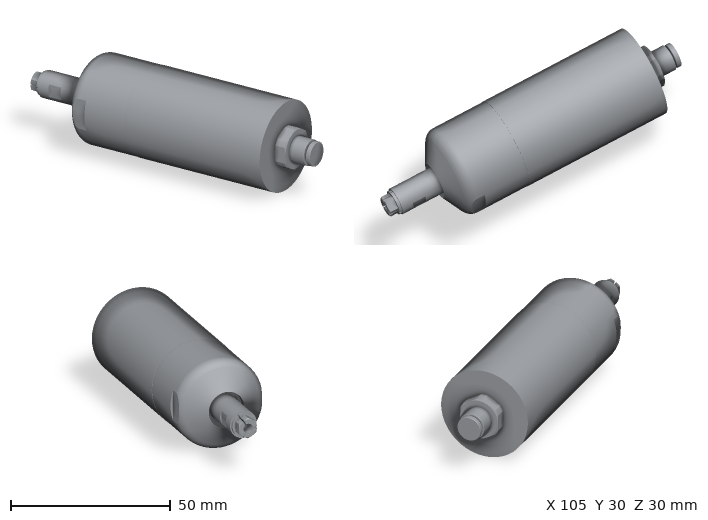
import cadquery as cq
import math


HEX_CHAMFER_ANGLE = 30

TIP_HEX_FLATS = 6.0
TIP_HEX_END = 2.9
TIP_FACE_DIAMETER = 5.9
COLLAR_DIAMETER = 8.1
COLLAR_END = 3.9
BORE_DIAMETER = 3.0
BORE_DEPTH = 4.2
BORE_POINT_ANGLE = 118
SLOT_WIDTH = 0.4
SLOT_COUNT = 3

SPINDLE_DIAMETER = 9.0
SPINDLE_FLATS = 8.0
SPINDLE_FLAT_START = 7.7
SPINDLE_FLAT_LENGTH = 4.5

REAR_DIAMETER = 30.0
FRONT_DIAMETER = 29.8
NOSE_DIAMETER = 12.0
NOSE_CONE_ANGLE = 60
NOSE_ROUNDING = 4.0
BODY_START = 25.4
BODY_END = 93.5
SEAM_POSITION = 43.4
RECESS_DIAMETER = NOSE_DIAMETER
RECESS_DEPTH = 2.1
BEARING_BORE_DIAMETER = 10.0
BEARING_BORE_DEPTH = 3.2
BODY_FLATS = 28.0
BODY_FLAT_END = 27.9

NUT_FLATS = 13.0
NUT_CORNER_DIAMETER = 14.1
NUT_LENGTH = 4.1
NUT_FACE_DIAMETER = 12.9
SLEEVE_DIAMETER = 8.6
SLEEVE_END = 102.9
SLEEVE_CHAMFER = 0.1
NECK_DIAMETER = 5.3
RING_DIAMETER = 8.1
RING_START = 103.4
RING_CHAMFER = 0.16
TOTAL_LENGTH = 105.0


def rod(diameter, start, end):
    """Round bar along X."""
    return cq.Workplane("YZ", origin=(start, 0, 0)).circle(diameter / 2).extrude(end - start)


def hexagon(across_flats, start, end):
    """Hexagonal bar along X with two flats facing -Y and +Y and corners facing -Z and +Z."""
    corner_diameter = across_flats / math.cos(math.radians(30))
    bar = cq.Workplane("YZ").polygon(6, corner_diameter).extrude(end - start)
    return bar.rotate((0, 0, 0), (1, 0, 0), 90).translate((start, 0, 0))


def turned_hexagon(across_flats, outer_diameter, face_diameter, start, end, chamfered_faces):
    """Hexagonal bar turned to an outer diameter, with conical chamfers down to a round face."""
    height = (outer_diameter - face_diameter) / 2
    length = height * math.tan(math.radians(HEX_CHAMFER_ANGLE))
    envelope = rod(outer_diameter, start, end).faces(chamfered_faces).chamfer(length, height)
    return hexagon(across_flats, start, end).intersect(envelope)


def flat_cutters(across_flats, start, end):
    """Blocks that leave two parallel flats facing -Y and +Y."""
    size = REAR_DIAMETER
    gap = cq.Workplane("XY").box(end - start, across_flats, size)
    block = cq.Workplane("XY").box(end - start, 2 * size, size)
    return block.cut(gap).translate(((start + end) / 2, 0, 0))


def make_collet():
    tip = turned_hexagon(TIP_HEX_FLATS, COLLAR_DIAMETER, TIP_FACE_DIAMETER, 0, TIP_HEX_END, "<X")
    collet = tip.union(rod(COLLAR_DIAMETER, TIP_HEX_END, COLLAR_END))
    slot = cq.Workplane("XY").box(COLLAR_END, COLLAR_DIAMETER, SLOT_WIDTH, centered=(False, False, True))
    for index in range(SLOT_COUNT):
        angle = 180 + index * 360 / SLOT_COUNT
        collet = collet.cut(slot.rotate((0, 0, 0), (1, 0, 0), angle))
    return collet


def make_collet_bore():
    """Drilled hole with a conical bottom."""
    radius = BORE_DIAMETER / 2
    point_length = radius / math.tan(math.radians(BORE_POINT_ANGLE / 2))
    profile = cq.Workplane("XY").polyline(
        [(0, 0), (0, radius), (BORE_DEPTH, radius), (BORE_DEPTH + point_length, 0)]
    ).close()
    return profile.revolve(360, (0, 0, 0), (1, 0, 0))


def make_spindle():
    spindle = rod(SPINDLE_DIAMETER, COLLAR_END, BODY_START)
    flat_end = SPINDLE_FLAT_START + SPINDLE_FLAT_LENGTH
    return spindle.cut(flat_cutters(SPINDLE_FLATS, SPINDLE_FLAT_START, flat_end))


def make_housing():
    angle = math.radians(NOSE_CONE_ANGLE)
    radius = FRONT_DIAMETER / 2
    rear_radius = REAR_DIAMETER / 2
    arc_centre = (BODY_START, radius - NOSE_ROUNDING)

    def arc_point(tilt):
        """Point of the nose rounding, tilted forward from the radial direction."""
        x = arc_centre[0] - NOSE_ROUNDING * math.sin(tilt)
        return (x, arc_centre[1] + NOSE_ROUNDING * math.cos(tilt))

    cone_end = arc_point(angle)
    cone_start = cone_end[0] - (cone_end[1] - NOSE_DIAMETER / 2) / math.tan(angle)
    profile = (
        cq.Workplane("XY")
        .moveTo(cone_start, 0)
        .lineTo(cone_start, NOSE_DIAMETER / 2)
        .lineTo(*cone_end)
        .threePointArc(arc_point(angle / 2), (BODY_START, radius))
        .lineTo(SEAM_POSITION, radius)
        .lineTo(SEAM_POSITION, rear_radius)
        .lineTo(BODY_END, rear_radius)
        .lineTo(BODY_END, 0)
        .close()
    )
    housing = profile.revolve(360, (0, 0, 0), (1, 0, 0))
    housing = housing.cut(rod(RECESS_DIAMETER, cone_start, cone_start + RECESS_DEPTH))
    housing = housing.cut(rod(BEARING_BORE_DIAMETER, cone_start, cone_start + BEARING_BORE_DEPTH))
    return housing.cut(flat_cutters(BODY_FLATS, cone_start, BODY_FLAT_END))


def make_fitting():
    nut_end = BODY_END + NUT_LENGTH
    nut = turned_hexagon(
        NUT_FLATS, NUT_CORNER_DIAMETER, NUT_FACE_DIAMETER, BODY_END, nut_end, "<X or >X"
    )
    sleeve = rod(SLEEVE_DIAMETER, nut_end, SLEEVE_END)
    sleeve = sleeve.faces(">X").chamfer(SLEEVE_CHAMFER)
    neck = rod(NECK_DIAMETER, SLEEVE_END, RING_START)
    ring = rod(RING_DIAMETER, RING_START, TOTAL_LENGTH).edges().chamfer(RING_CHAMFER)
    return nut.union(sleeve).union(neck).union(ring)


result = make_housing().union(make_spindle()).union(make_collet()).union(make_fitting())
result = result.cut(make_collet_bore())